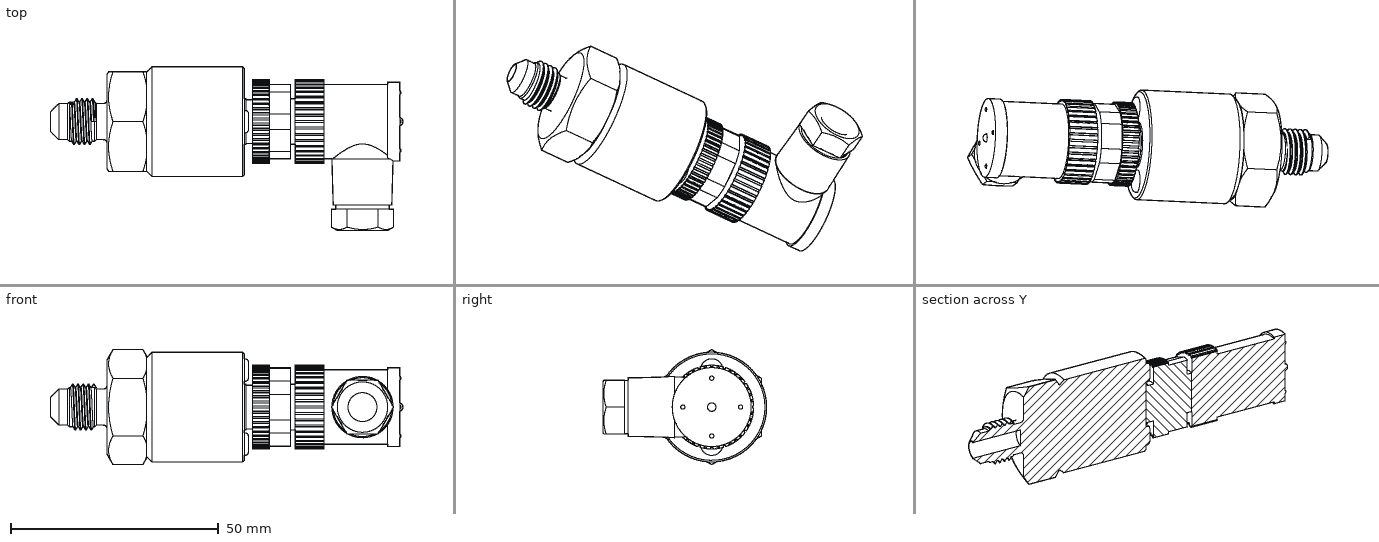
import cadquery as cq
import math


HEX_CHAMFER_ANGLE = 30.0
OVERRUN = 0.85

BORE_DIAMETER = 4.3
BORE_DEPTH = 12.7
NOSE_TIP_DIAMETER = 4.75
PORT_DIAMETER = 8.7
NOSE_CONE_END = (PORT_DIAMETER - NOSE_TIP_DIAMETER) / 2
THREAD_START = 4.2
THREAD_END = 11.0
THREAD_DIAMETER = 11.0
THREAD_ROOT_DIAMETER = 9.5
THREAD_PITCH = 1.3
THREAD_CREST = 0.2
THREAD_BASE = 1.2
THREAD_START_ANGLE = 120.0
THREAD_OVERLAP = 0.1
PORT_FILLET = 0.85
HEX_START = 13.6
HEX_END = 23.2
HEX_FLATS = 24.0
HEX_FRONT_DIAMETER = 22.7
HEX_BACK_DIAMETER = 24.6
HOUSING_DIAMETER = 26.5
HOUSING_FRONT_CHAMFER = 1.3
HOUSING_BACK_CHAMFER = 0.4
HOUSING_END = 46.7
SCREW_HEAD_DIAMETER = 5.4
SCREW_HEAD_HEIGHT = 1.0
SCREW_HEAD_ROUND = 0.85
SCREW_HEAD_OFFSET = 8.9

COLLAR_DIAMETER = 11.0
COLLAR_LENGTH = 0.3
SOCKET_NECK_DIAMETER = 10.6
KNURL_DIAMETER = 20.2
KNURL_GROOVE_WIDTH = 0.5
KNURL_GROOVE_DEPTH = 0.3
RING_START = 48.6
RING_END = 52.7
RING_GROOVES = 50
FLATTED_END = 57.8
FLATTED_FLATS = 18.0
FLATTED_DIAMETER = 19.0
SPIGOT_DIAMETER = 11.0

COUPLING_START = 58.9
COUPLING_END = 65.85
COUPLING_GROOVES = 40
BARREL_DIAMETER = 18.0
BARREL_END = 81.1
CAP_DIAMETER = 19.0
CAP_END = 84.1
CAP_TIP_DIAMETER = 2.0
OVERALL_LENGTH = 84.9
NUB_DIAMETER = 1.0
NUB_HEIGHT = 0.25
NUB_OFFSET = 7.0
NUB_COUNT = 4
BRANCH_X = 75.1
BRANCH_ROOT_DIAMETER = 14.4
BRANCH_START_DIAMETER = 14.8
BRANCH_END_DIAMETER = 14.2
BRANCH_SHOULDER = BARREL_DIAMETER / 2
BRANCH_TAPER_END = 20.1
GLAND_NECK_DIAMETER = 12.9
GLAND_START = 21.05
GLAND_END = 26.2
GLAND_FLATS = 13.0
GLAND_END_DIAMETER = 12.1
CABLE_MOUTH_DIAMETER = 11.0
CABLE_HOLE_DIAMETER = 7.0
CABLE_HOLE_DEPTH = 6.8


def x_cylinder(diameter, start, end):
    """Round bar on the main axis between two X positions."""
    return cq.Workplane("YZ").workplane(offset=start).circle(diameter / 2).extrude(end - start)


def x_revolve(points):
    """Solid of revolution about the main axis from an outline of (x, radius) points."""
    return cq.Workplane("XY").polyline(points).close().revolve(360, (0, 0, 0), (1, 0, 0))


def dome(diameter, height, x, y, z):
    """Spherical cap standing on the plane at x and pointing along +X."""
    radius = diameter / 2
    sphere_radius = (radius**2 + height**2) / (2 * height)
    half_angle = math.asin(radius / sphere_radius) / 2
    middle = (height - sphere_radius * (1 - math.cos(half_angle)), sphere_radius * math.sin(half_angle))
    cap = (
        cq.Workplane("XY")
        .moveTo(0, 0)
        .lineTo(0, radius)
        .threePointArc(middle, (height, 0))
        .close()
        .revolve(360, (0, 0, 0), (1, 0, 0))
    )
    return cap.translate((x, y, z))


def hexagon_corners(flats):
    """Corner-to-corner diameter of a hexagon with the given width across flats."""
    return flats / math.cos(math.pi / 6)


def chamfer_length(corner_diameter, end_diameter):
    """Axial length of a nut chamfer running from the corners to a smaller end circle."""
    return (corner_diameter - end_diameter) / 2 * math.tan(math.radians(HEX_CHAMFER_ANGLE))


def thread():
    """Root bar with chamfered ends, carrying a right-hand helical ridge."""
    root_chamfer = (THREAD_ROOT_DIAMETER - PORT_DIAMETER) / 2
    core = x_cylinder(THREAD_ROOT_DIAMETER, THREAD_START, THREAD_END)
    core = core.faces("<X or >X").edges().chamfer(root_chamfer)
    crest = THREAD_DIAMETER / 2
    embedded = THREAD_ROOT_DIAMETER / 2 - THREAD_OVERLAP
    half_base = THREAD_BASE / 2
    half_crest = THREAD_CREST / 2
    helix_start = THREAD_START + root_chamfer + half_base
    helix_end = THREAD_END - half_base
    helix = cq.Wire.makeHelix(THREAD_PITCH, helix_end - helix_start, embedded)
    ridge = (
        cq.Workplane("XZ")
        .polyline([(embedded, -half_base), (crest, -half_crest), (crest, half_crest), (embedded, half_base)])
        .close()
        .sweep(cq.Workplane(obj=helix), isFrenet=True)
        .rotate((0, 0, 0), (0, 1, 0), 90)
        .rotate((0, 0, 0), (1, 0, 0), THREAD_START_ANGLE)
        .translate((helix_start, 0, 0))
    )
    return core.union(ridge)


def port():
    """Plain nose and neck on both sides of the thread, flared into the hexagon by a fillet."""
    radius = PORT_DIAMETER / 2
    fillet_start = HEX_START - PORT_FILLET
    fillet_middle = PORT_FILLET * math.sqrt(0.5)
    return (
        cq.Workplane("XY")
        .moveTo(0, 0)
        .lineTo(0, NOSE_TIP_DIAMETER / 2)
        .lineTo(NOSE_CONE_END, radius)
        .lineTo(fillet_start, radius)
        .threePointArc(
            (fillet_start + fillet_middle, radius + PORT_FILLET - fillet_middle),
            (HEX_START, radius + PORT_FILLET),
        )
        .lineTo(HEX_START, 0)
        .close()
        .revolve(360, (0, 0, 0), (1, 0, 0))
    )


def sensor_hex():
    """Hexagon with corners at +Z and -Z, chamfered at both ends."""
    corners = hexagon_corners(HEX_FLATS)
    prism = (
        cq.Workplane("YZ")
        .workplane(offset=HEX_START)
        .polygon(6, corners)
        .extrude(HEX_END - HEX_START)
        .rotate((0, 0, 0), (1, 0, 0), 90)
    )
    envelope = x_revolve(
        [
            (HEX_START, 0),
            (HEX_START, HEX_FRONT_DIAMETER / 2),
            (HEX_START + chamfer_length(corners, HEX_FRONT_DIAMETER), corners / 2),
            (HEX_END - chamfer_length(corners, HEX_BACK_DIAMETER), corners / 2),
            (HEX_END, HEX_BACK_DIAMETER / 2),
            (HEX_END, 0),
        ]
    )
    return prism.intersect(envelope)


def screw_head(z):
    """Low round-edged screw head on the back face of the housing."""
    end = HOUSING_END + SCREW_HEAD_HEIGHT
    head = x_cylinder(SCREW_HEAD_DIAMETER, HOUSING_END, end).faces(">X").edges().fillet(SCREW_HEAD_ROUND)
    return head.translate((0, 0, z))


def make_sensor():
    housing = x_cylinder(HOUSING_DIAMETER, HEX_END, HOUSING_END)
    housing = housing.faces("<X").edges().chamfer(HOUSING_FRONT_CHAMFER)
    housing = housing.faces(">X").edges().chamfer(HOUSING_BACK_CHAMFER)
    sensor = port().union(thread()).union(sensor_hex()).union(housing)
    for z in (SCREW_HEAD_OFFSET, -SCREW_HEAD_OFFSET):
        sensor = sensor.union(screw_head(z))
    return sensor.cut(x_cylinder(BORE_DIAMETER, -OVERRUN, BORE_DEPTH))


def knurled_ring(start, end, grooves):
    """Ring with evenly spaced axial grooves, one of them facing -Y."""
    radius = KNURL_DIAMETER / 2
    step = 2 * math.pi / grooves
    half_groove = math.asin(KNURL_GROOVE_WIDTH / KNURL_DIAMETER)
    floor = radius - KNURL_GROOVE_DEPTH

    def point(r, angle):
        return (-r * math.cos(angle), r * math.sin(angle))

    outline = cq.Workplane("YZ").workplane(offset=start).moveTo(*point(floor, -half_groove))
    for index in range(grooves):
        groove = index * step
        land_start = groove + half_groove
        land_end = groove + step - half_groove
        outline = (
            outline.lineTo(*point(floor, land_start))
            .lineTo(*point(radius, land_start))
            .threePointArc(point(radius, groove + step / 2), point(radius, land_end))
        )
        if index < grooves - 1:
            outline = outline.lineTo(*point(floor, land_end))
    return outline.lineTo(*point(floor, -half_groove)).close().extrude(end - start)


def make_socket():
    flatted = (
        cq.Workplane("YZ")
        .workplane(offset=RING_END)
        .polygon(6, hexagon_corners(FLATTED_FLATS))
        .extrude(FLATTED_END - RING_END)
        .rotate((0, 0, 0), (1, 0, 0), 90)
        .intersect(x_cylinder(FLATTED_DIAMETER, RING_END, FLATTED_END))
    )
    return (
        x_cylinder(COLLAR_DIAMETER, HOUSING_END, HOUSING_END + COLLAR_LENGTH)
        .union(x_cylinder(SOCKET_NECK_DIAMETER, HOUSING_END, RING_START))
        .union(knurled_ring(RING_START, RING_END, RING_GROOVES))
        .union(flatted)
        .union(x_cylinder(SPIGOT_DIAMETER, FLATTED_END, COUPLING_START))
    )


def branch_revolve(points):
    """Solid of revolution about the branch axis from (radius, distance along -Y) points."""
    outline = [(BRANCH_X + radius, -distance) for radius, distance in points]
    axis_start = (BRANCH_X, 0)
    axis_end = (BRANCH_X, -1)
    return cq.Workplane("XY").polyline(outline).close().revolve(360, axis_start, axis_end)


def branch():
    """Round stem that leaves the barrel, tapers and ends in a narrower neck."""
    return branch_revolve(
        [
            (0, 0),
            (BRANCH_ROOT_DIAMETER / 2, 0),
            (BRANCH_ROOT_DIAMETER / 2, BRANCH_SHOULDER),
            (BRANCH_START_DIAMETER / 2, BRANCH_SHOULDER),
            (BRANCH_END_DIAMETER / 2, BRANCH_TAPER_END),
            (GLAND_NECK_DIAMETER / 2, BRANCH_TAPER_END),
            (GLAND_NECK_DIAMETER / 2, GLAND_START),
            (0, GLAND_START),
        ]
    )


def gland_nut():
    """Hexagon at the end of the branch, with flats facing +Z and -Z and a chamfered outer end."""
    corners = hexagon_corners(GLAND_FLATS)
    chamfer_start = GLAND_END - chamfer_length(corners, GLAND_END_DIAMETER)
    prism = (
        cq.Workplane("XZ")
        .workplane(offset=GLAND_START)
        .center(BRANCH_X, 0)
        .polygon(6, corners)
        .extrude(GLAND_END - GLAND_START)
    )
    envelope = branch_revolve(
        [
            (0, GLAND_START),
            (corners / 2, GLAND_START),
            (corners / 2, chamfer_start),
            (GLAND_END_DIAMETER / 2, GLAND_END),
            (0, GLAND_END),
        ]
    )
    return prism.intersect(envelope)


def cable_hole():
    """Blind hole along the branch axis with a mouth rounded out to the end face."""
    radius = CABLE_HOLE_DIAMETER / 2
    mouth = CABLE_MOUTH_DIAMETER / 2
    rounding = mouth - radius
    offset = rounding * (1 - math.sqrt(0.5))
    bottom = CABLE_HOLE_DEPTH - GLAND_END
    return (
        cq.Workplane("XY")
        .moveTo(BRANCH_X, bottom)
        .lineTo(BRANCH_X + radius, bottom)
        .lineTo(BRANCH_X + radius, rounding - GLAND_END)
        .threePointArc(
            (BRANCH_X + radius + offset, offset - GLAND_END),
            (BRANCH_X + mouth, -GLAND_END),
        )
        .lineTo(BRANCH_X, -GLAND_END)
        .close()
        .revolve(360, (BRANCH_X, 0), (BRANCH_X, -1))
    )


def make_elbow():
    elbow = (
        knurled_ring(COUPLING_START, COUPLING_END, COUPLING_GROOVES)
        .union(x_cylinder(BARREL_DIAMETER, COUPLING_END, BARREL_END))
        .union(x_cylinder(CAP_DIAMETER, BARREL_END, CAP_END))
        .union(dome(CAP_TIP_DIAMETER, OVERALL_LENGTH - CAP_END, CAP_END, 0, 0))
    )
    for index in range(NUB_COUNT):
        angle = 2 * math.pi * index / NUB_COUNT
        y = NUB_OFFSET * math.cos(angle)
        z = NUB_OFFSET * math.sin(angle)
        elbow = elbow.union(dome(NUB_DIAMETER, NUB_HEIGHT, CAP_END, y, z))
    return elbow.union(branch()).union(gland_nut()).cut(cable_hole())


sensor = make_sensor()
socket = make_socket()
elbow = make_elbow()
result = cq.Compound.makeCompound([sensor.val(), socket.val(), elbow.val()])